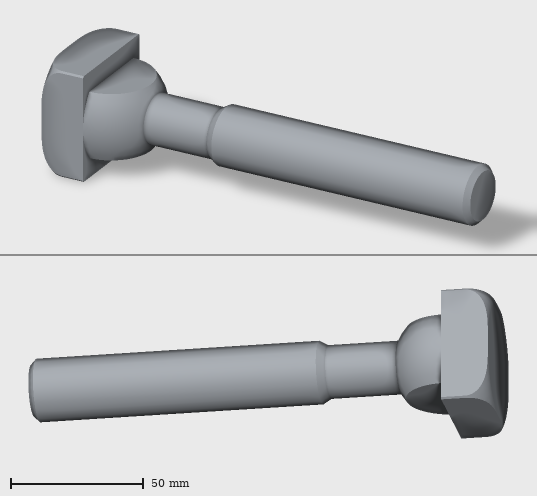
import cadquery as cq
import math

length = 178.0
head_width = 44.0
head_thickness = 18.0
head_corner_diameter = 61.2
head_edge_radius = 8.7
ball_radius = head_width / 2
ball_flat_width = 27.6
neck_diameter = 20.3
shank_diameter = 24.0
shank_start = 64.5
shoulder_angle = 30.0
end_chamfer = 2.1


def make_head():
    """Square head whose corners are trimmed by a cylinder with a rounded edge."""
    square = cq.Workplane("YZ").rect(head_width, head_width).extrude(head_thickness)
    rounded_disc = (
        cq.Workplane("YZ")
        .circle(head_corner_diameter / 2)
        .extrude(head_thickness)
        .faces("<X")
        .edges()
        .fillet(head_edge_radius)
    )
    return square.intersect(rounded_disc)


def make_half_ball():
    """Half ball behind the head, cut flat on its upper and lower sides."""
    ball = cq.Workplane("XY").sphere(ball_radius)
    envelope = cq.Workplane("XY").box(
        ball_radius, head_width, ball_flat_width, centered=(False, True, True)
    )
    return ball.intersect(envelope).translate((head_thickness, 0, 0))


def make_shaft():
    """Neck, conical shoulder and shank with a chamfered end."""
    neck_radius = neck_diameter / 2
    shank_radius = shank_diameter / 2
    shoulder_length = (shank_radius - neck_radius) / math.tan(math.radians(shoulder_angle))
    profile = (
        cq.Workplane("XY")
        .moveTo(head_thickness, 0)
        .lineTo(head_thickness, neck_radius)
        .lineTo(shank_start, neck_radius)
        .lineTo(shank_start + shoulder_length, shank_radius)
        .lineTo(length - end_chamfer, shank_radius)
        .lineTo(length, shank_radius - end_chamfer)
        .lineTo(length, 0)
        .close()
    )
    return profile.revolve(360, (0, 0, 0), (1, 0, 0))


result = make_head().union(make_half_ball()).union(make_shaft())